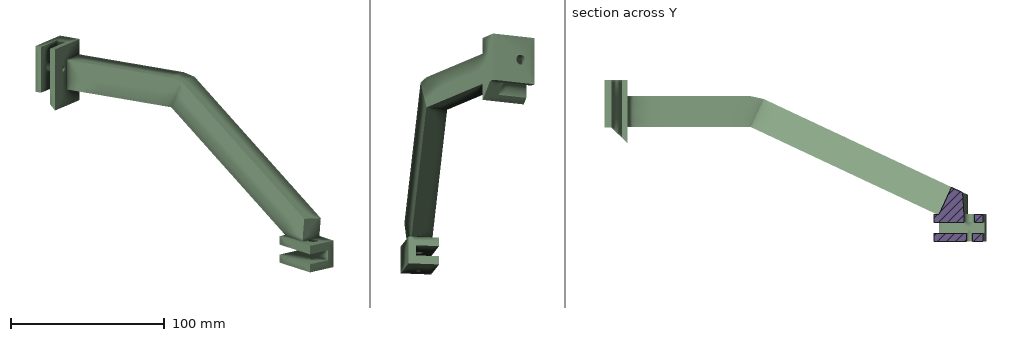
import cadquery as cq
import math

LENGTH_X = 248.2
EXTENT_Y = 79.0
EXTENT_Z = 104.7

WALL_LENGTH = 15.1
WALL_DEPTH = 30.0
WALL_HEIGHT = 41.2
WALL_SLOT_START = 4.5
WALL_SLOT_WIDTH = 7.0
WALL_SLOT_BACK = 10.0
BEVEL_START_Z = -30.8
WALL_HOLE_Y = -20.0
WALL_HOLE_Z = -15.5

ARM_WIDTH = 15.1
ARM_HEIGHT = 20.0
ARM_TOP_Z = -10.5
BEND_X = 95.0
BEND_ANGLE = 24.6
END_LEAN = 3.5
SLOPE_Y = -0.424
SLOPE_Z = -0.469

CLIP_LENGTH = 30.8
CLIP_DEPTH = 20.0
CLIP_HEIGHT = 17.9
CLIP_TURN = 17.5
CLIP_BOTTOM_WALL = 5.5
CLIP_SLOT_HEIGHT = 6.7
CLIP_SLOT_BACK = 5.0
CLIP_HOLE_INSET = 8.7

CLEARANCE_DIAMETER = 6.5
PILOT_DIAMETER = 3.5

turn = math.radians(CLIP_TURN)
clip_corner_x = LENGTH_X - CLIP_DEPTH * math.sin(turn)
clip_corner_y = -EXTENT_Y


def make_box(x_range, y_range, z_range):
    """Axis-aligned box between pairs of limits."""
    size = [limits[1] - limits[0] for limits in (x_range, y_range, z_range)]
    return cq.Workplane("XY").box(*size, centered=False).translate((x_range[0], y_range[0], z_range[0]))


def make_rod(diameter, start, direction, length):
    """Round cutter running from a start point along a direction."""
    return cq.Workplane(cq.Solid.makeCylinder(diameter / 2, length, cq.Vector(*start), cq.Vector(*direction)))


def place_clip(body):
    """Move a body from the end clip's own frame to its place on the arm.

    The frame's origin is the lower front right corner of the clip.
    """
    turned = body.rotate((0, 0, 0), (0, 0, 1), -CLIP_TURN)
    return turned.translate((clip_corner_x, clip_corner_y, -EXTENT_Z))


def make_wall_clip():
    profile = [
        (0, 0),
        (WALL_LENGTH, 0),
        (WALL_LENGTH, -WALL_HEIGHT),
        (WALL_SLOT_START, BEVEL_START_Z),
        (0, BEVEL_START_Z),
    ]
    block = cq.Workplane("XZ").polyline(profile).close().extrude(WALL_DEPTH)
    slot_end = WALL_SLOT_START + WALL_SLOT_WIDTH
    slot = make_box((WALL_SLOT_START, slot_end), (-WALL_DEPTH, -WALL_SLOT_BACK), (-WALL_HEIGHT, 0))
    hole_start = (0, WALL_HOLE_Y, WALL_HOLE_Z)
    clearance = make_rod(CLEARANCE_DIAMETER, hole_start, (1, 0, 0), slot_end)
    pilot = make_rod(PILOT_DIAMETER, hole_start, (1, 0, 0), WALL_LENGTH)
    return block.cut(slot).cut(clearance).cut(pilot)


def make_sloping_bar(bend_low, bend_high):
    """Oblique bar from the bend, trimmed across the end clip and flush with its top."""
    start = cq.Wire.makePolygon(
        [cq.Vector(x, y, z) for y, (x, z) in (
            (0, bend_low), (0, bend_high), (-ARM_WIDTH, bend_high), (-ARM_WIDTH, bend_low))],
        close=True,
    )
    run = LENGTH_X - BEND_X
    travel = cq.Vector(run, run * SLOPE_Y, run * SLOPE_Z)
    bar = cq.Workplane(cq.Solid.makeLoft([start, start.translate(travel)], True))

    end_inset = CLIP_HOLE_INSET + CLEARANCE_DIAMETER / 2
    lean = EXTENT_Z * math.tan(math.radians(END_LEAN))
    keep_profile = [
        (-LENGTH_X, CLIP_HEIGHT),
        (-end_inset, CLIP_HEIGHT),
        (-end_inset - lean, CLIP_HEIGHT + EXTENT_Z),
        (-LENGTH_X, CLIP_HEIGHT + EXTENT_Z),
    ]
    keep = cq.Workplane("XZ").polyline(keep_profile).close().extrude(LENGTH_X, both=True)
    return bar.intersect(place_clip(keep))


def make_arm():
    bend = math.radians(BEND_ANGLE)
    arm_bottom_z = ARM_TOP_Z - ARM_HEIGHT
    bend_low = (BEND_X, arm_bottom_z)
    bend_high = (BEND_X + ARM_HEIGHT * math.sin(bend), arm_bottom_z + ARM_HEIGHT * math.cos(bend))
    profile = [
        (WALL_LENGTH, arm_bottom_z),
        (WALL_LENGTH, ARM_TOP_Z),
        (BEND_X, ARM_TOP_Z),
        bend_high,
        bend_low,
    ]
    straight_bar = cq.Workplane("XZ").polyline(profile).close().extrude(ARM_WIDTH)
    return straight_bar.union(make_sloping_bar(bend_low, bend_high))


def make_end_clip():
    block = make_box((-CLIP_LENGTH, 0), (0, CLIP_DEPTH), (0, CLIP_HEIGHT))
    slot_top = CLIP_BOTTOM_WALL + CLIP_SLOT_HEIGHT
    slot = make_box((-CLIP_LENGTH, 0), (0, CLIP_DEPTH - CLIP_SLOT_BACK), (CLIP_BOTTOM_WALL, slot_top))
    hole_start = (-CLIP_HOLE_INSET, CLIP_DEPTH / 2, CLIP_HEIGHT)
    clearance = make_rod(CLEARANCE_DIAMETER, hole_start, (0, 0, -1), CLIP_HEIGHT - CLIP_BOTTOM_WALL)
    pilot = make_rod(PILOT_DIAMETER, hole_start, (0, 0, -1), CLIP_HEIGHT)
    return place_clip(block.cut(slot).cut(clearance).cut(pilot))


result = make_wall_clip().union(make_arm()).union(make_end_clip())